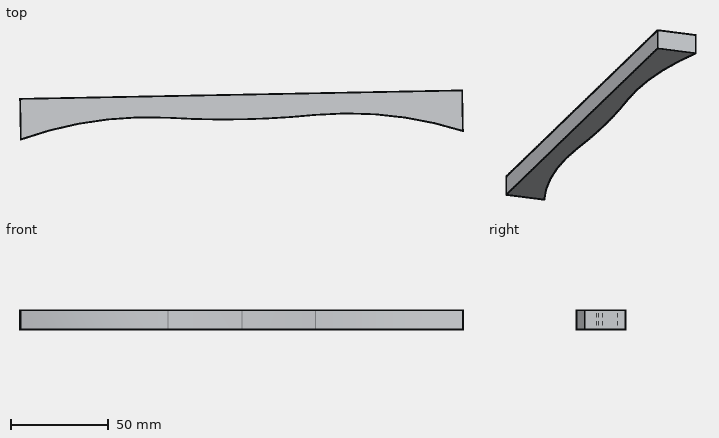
import cadquery as cq
import math

bar_length = 226.34
end_width = 20.89
middle_width = 12.75
join_width = 11.2
join_fraction = 1 / 3
flare_angle = 18.0
thickness = 10.0
tilt = 1.1

half_length = bar_length / 2
join_x = half_length * join_fraction
central_bulge = middle_width - join_width

join_angle = 2 * math.degrees(math.atan(central_bulge / join_x))


def end_arc_midpoint():
    """Midpoint, on the +X half, of the arc that flares from the join to the end."""
    chord_x = half_length - join_x
    chord_y = end_width - join_width
    chord = math.hypot(chord_x, chord_y)
    turn = math.radians(flare_angle + join_angle)
    sagitta = chord / 2 * math.tan(turn / 4)
    x = join_x + chord_x / 2 + sagitta * chord_y / chord
    y = join_width + chord_y / 2 - sagitta * chord_x / chord
    return x, -y


def central_arc_midpoint():
    """Midpoint, on the +X half, of the arc from the bar's middle to the join."""
    radius = (join_x**2 + central_bulge**2) / (2 * central_bulge)
    half_turn = math.radians(join_angle / 2)
    x = radius * math.sin(half_turn)
    y = middle_width - radius * (1 - math.cos(half_turn))
    return x, -y


def mirrored(point):
    return -point[0], point[1]


def make_bar():
    """Bar with one straight edge and one wavy edge; its central arc is kept as two faces."""
    end_corner = (half_length, -end_width)
    join = (join_x, -join_width)
    middle = (0, -middle_width)
    end_mid = end_arc_midpoint()
    central_mid = central_arc_midpoint()

    return (
        cq.Workplane("XY")
        .moveTo(-half_length, 0)
        .lineTo(*mirrored(end_corner))
        .threePointArc(mirrored(end_mid), mirrored(join))
        .threePointArc(mirrored(central_mid), middle)
        .threePointArc(central_mid, join)
        .threePointArc(end_mid, end_corner)
        .lineTo(half_length, 0)
        .close()
        .extrude(thickness, clean=False)
    )


result = make_bar().rotate((0, 0, 0), (0, 0, 1), tilt)